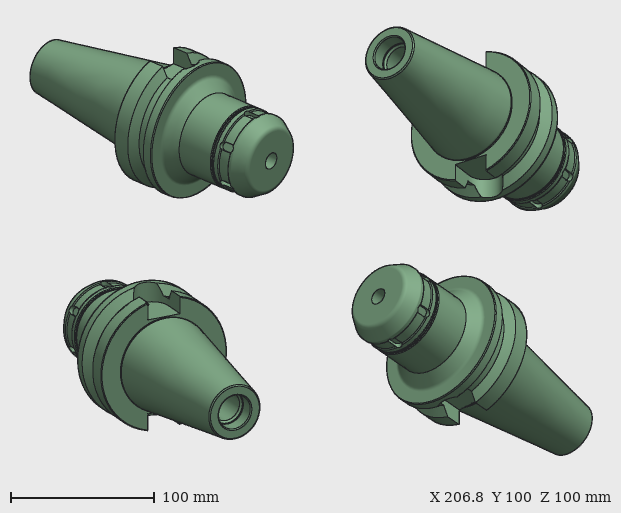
import cadquery as cq
import math

LENGTH = 206.8

TAPER_SLOPE = 7 / 48
TAPER_LENGTH = 101.7
TAPER_LARGE_R = 35.0
TAPER_SMALL_R = TAPER_LARGE_R - TAPER_LENGTH * TAPER_SLOPE
TAPER_END_CHAMFER = 0.8
RELIEF_START = 103.0
RELIEF_R = 68.9 / 2
RELIEF_CHAMFER = TAPER_LARGE_R - RELIEF_R

FLANGE_START = 104.8
FLANGE_END = 139.8
FLANGE_R = 100.0 / 2
FLANGE_BACK_R = 49.6
FLANGE_BACK_CHAMFER = 0.6
FLANGE_EDGE_RUN = 1.0
FLANGE_EDGE_DROP = 0.5
V_BOTTOM_R = 42.4
V_BOTTOM_START = 121.5
V_BOTTOM_END = 127.8
V_SIDE_SLOPE = math.tan(math.radians(30))
V_START = V_BOTTOM_START - (FLANGE_BACK_R - V_BOTTOM_R) * V_SIDE_SLOPE
V_END = V_BOTTOM_END + (FLANGE_R - V_BOTTOM_R) * V_SIDE_SLOPE

BODY_R = 61.0 / 2
SHOULDER_END = 148.3
SHOULDER_START_R = BODY_R + SHOULDER_END - FLANGE_END
SHOULDER_FILLET = 4.0

NECK_R = 58 / 2
NECK_START = 177.2
NECK_END = 180.3
NECK_CHAMFER = 0.6
BAND_R = 29.5
BAND_START = 184.0
BAND_END = 193.5
BAND_EDGE_RUN = 0.6
NOSE_START = 196.3
NOSE_ANGLE = 30
NOSE_END_R = BODY_R - (LENGTH - NOSE_START) * math.tan(math.radians(NOSE_ANGLE))
NOSE_EDGE_FILLET = 1.2
NOSE_TIP_FILLET = 4.0

NOTCH_COUNT = 6
NOTCH_LENGTH = 11.8
NOTCH_WIDTH = 6.0
NOTCH_FLOOR_R = 26.9
NOTCH_X = (BAND_START + BAND_END) / 2

SLOT_WIDTH = 25.5
SLOT_END = 135.7
SLOT_FLOOR_Z = 35.2
PORT_R = 3.3 / 2
PORT_MOUTH_R = 4.0 / 2
PORT_X = 131.5

THROUGH_R = 12.0 / 2
THREAD_R = 21.3 / 2
THREAD_LEAD_R = 24.0 / 2
PILOT_R = 25.0 / 2
PILOT_DEPTH = 11.0
PILOT_CHAMFER = 0.8
STEP_LENGTH = 0.6
THREAD_LEAD_LENGTH = 1.7
THREAD_DEPTH = 41.4
DRILL_TIP_ANGLE = 118


def revolve_about_x(points):
    """Solid of revolution about X from (x, radius) points."""
    return cq.Workplane("XY").polyline(points).close().revolve(360, (0, 0, 0), (1, 0, 0))


def circle_at(body, x, radius):
    """The circular edge of the body at station x with the given radius."""
    matches = [
        edge
        for edge in body.edges("%CIRCLE").vals()
        if abs(edge.Center().x - x) < 0.002 and abs(edge.radius() - radius) < 0.002
    ]
    return body.newObject(matches)


def make_body():
    """Turned outside of the holder."""
    body = revolve_about_x([
        (0, 0),
        (0, TAPER_SMALL_R - TAPER_END_CHAMFER),
        (TAPER_END_CHAMFER, TAPER_SMALL_R + TAPER_END_CHAMFER * TAPER_SLOPE),
        (TAPER_LENGTH, TAPER_LARGE_R),
        (RELIEF_START, TAPER_LARGE_R),
        (RELIEF_START + RELIEF_CHAMFER, RELIEF_R),
        (FLANGE_START, RELIEF_R),
        (FLANGE_START, FLANGE_BACK_R - FLANGE_BACK_CHAMFER),
        (FLANGE_START + FLANGE_BACK_CHAMFER, FLANGE_BACK_R),
        (V_START, FLANGE_BACK_R),
        (V_BOTTOM_START, V_BOTTOM_R),
        (V_BOTTOM_END, V_BOTTOM_R),
        (V_END, FLANGE_R),
        (FLANGE_END - FLANGE_EDGE_RUN, FLANGE_R),
        (FLANGE_END, FLANGE_R - FLANGE_EDGE_DROP),
        (FLANGE_END, SHOULDER_START_R),
        (SHOULDER_END, BODY_R),
        (NECK_START, BODY_R),
        (NECK_START + NECK_CHAMFER, BODY_R - NECK_CHAMFER),
        (NECK_START + NECK_CHAMFER, NECK_R),
        (NECK_END - NECK_CHAMFER, NECK_R),
        (NECK_END - NECK_CHAMFER, BODY_R - NECK_CHAMFER),
        (NECK_END, BODY_R),
        (BAND_START, BODY_R),
        (BAND_START + BAND_EDGE_RUN, BAND_R),
        (BAND_END - BAND_EDGE_RUN, BAND_R),
        (BAND_END, BODY_R),
        (NOSE_START, BODY_R),
        (LENGTH, NOSE_END_R),
        (LENGTH, 0),
    ])
    body = circle_at(body, FLANGE_END, SHOULDER_START_R).fillet(SHOULDER_FILLET)
    body = circle_at(body, NOSE_START, BODY_R).fillet(NOSE_EDGE_FILLET)
    return circle_at(body, LENGTH, NOSE_END_R).fillet(NOSE_TIP_FILLET)


def make_bore():
    """Cutter for the stepped axial bore."""
    lead_start = PILOT_DEPTH + STEP_LENGTH
    lead_end = lead_start + THREAD_LEAD_LENGTH
    tip_length = (THREAD_R - THROUGH_R) / math.tan(math.radians(DRILL_TIP_ANGLE / 2))
    return revolve_about_x([
        (0, 0),
        (0, PILOT_R + PILOT_CHAMFER),
        (PILOT_CHAMFER, PILOT_R),
        (PILOT_DEPTH, PILOT_R),
        (PILOT_DEPTH, THREAD_LEAD_R),
        (lead_start, THREAD_LEAD_R),
        (lead_end, THREAD_R),
        (THREAD_DEPTH, THREAD_R),
        (THREAD_DEPTH + tip_length, THROUGH_R),
        (LENGTH, THROUGH_R),
        (LENGTH, 0),
    ])


def make_drive_slot():
    """Cutter for the upper slot: open towards the taper, with a round end."""
    half_width = SLOT_WIDTH / 2
    arc_x = SLOT_END - half_width
    return (
        cq.Workplane("XY", origin=(0, 0, SLOT_FLOOR_Z))
        .moveTo(FLANGE_START, -half_width)
        .lineTo(arc_x, -half_width)
        .threePointArc((SLOT_END, 0), (arc_x, half_width))
        .lineTo(FLANGE_START, half_width)
        .close()
        .extrude(FLANGE_R - SLOT_FLOOR_Z)
    )


def make_port():
    """Radial hole from the upper slot floor into the axial bore, with a bevelled mouth."""
    mouth_bevel = PORT_MOUTH_R - PORT_R
    return (
        cq.Workplane("XZ", origin=(PORT_X, 0, 0))
        .polyline([
            (0, 0),
            (PORT_R, 0),
            (PORT_R, SLOT_FLOOR_Z - mouth_bevel),
            (PORT_MOUTH_R, SLOT_FLOOR_Z),
            (0, SLOT_FLOOR_Z),
        ])
        .close()
        .revolve(360, (0, 0, 0), (0, 1, 0))
    )


def make_notch():
    """Cutter for the notch on top of the nut."""
    return (
        cq.Workplane("XY", origin=(NOTCH_X, 0, NOTCH_FLOOR_R))
        .slot2D(NOTCH_LENGTH, NOTCH_WIDTH)
        .extrude(BODY_R - NOTCH_FLOOR_R)
    )


result = make_body().cut(make_bore()).cut(make_port())

drive_slot = make_drive_slot()
for angle in (0, 180):
    result = result.cut(drive_slot.rotate((0, 0, 0), (1, 0, 0), angle))

notch = make_notch()
for index in range(NOTCH_COUNT):
    result = result.cut(notch.rotate((0, 0, 0), (1, 0, 0), index * 360 / NOTCH_COUNT))